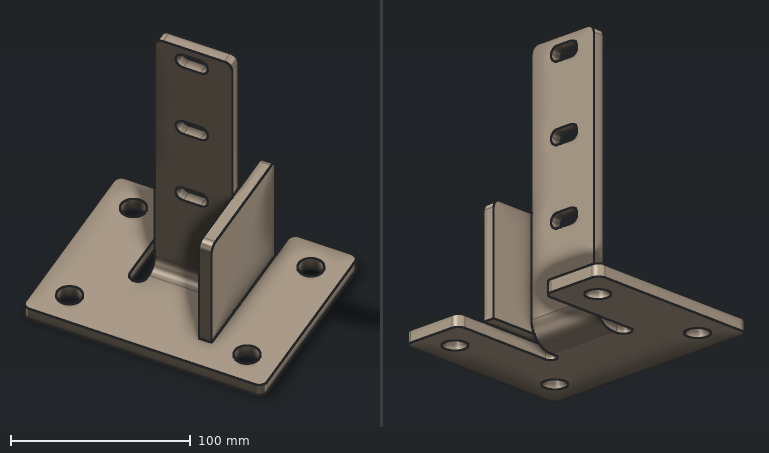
import cadquery as cq
import math

sheet = 8.0
base_length = 150.0
base_width = 120.0
total_height = 180.0
corner_radius = 5.0

hole_diameter = 15.0
hole_inset = 20.0

opening_left = 42.0
left_relief_width = 10.0
relief_end_y = 46.5
upright_width = 48.0
upright_left = opening_left + left_relief_width
upright_right = upright_left + upright_width
right_relief_width = sheet
opening_right = upright_right + right_relief_width

inner_bend_radius = sheet
outer_bend_radius = inner_bend_radius + sheet
upright_front = 62.0
upright_back = upright_front + sheet
bend_start_y = upright_front - inner_bend_radius
bend_top_z = sheet + inner_bend_radius

slot_length = 20.0
slot_height = 9.4
slot_count = 3
slot_pitch = 50.0
slot_x = base_length / 2
top_slot_z = total_height - 10.0

gusset_front = hole_inset
gusset_length = base_width - 2 * hole_inset
gusset_top = 80.0


def box_between(start, end):
    """Box with its opposite corners at the two given points."""
    size = [b - a for a, b in zip(start, end)]
    return cq.Workplane("XY").box(*size, centered=False).translate(start)


def relief_cut(left, width):
    """Slit with a round front end, open at the back edge of the base."""
    radius = width / 2
    shoulder_y = relief_end_y + radius
    return (
        cq.Workplane("XY")
        .moveTo(left, base_width)
        .lineTo(left, shoulder_y)
        .threePointArc((left + radius, relief_end_y), (left + width, shoulder_y))
        .lineTo(left + width, base_width)
        .close()
        .extrude(sheet)
    )


def make_base():
    """Flat base with its opening, relief slits, rounded corners and mounting holes."""
    base = box_between((0, 0, 0), (base_length, base_width, sheet))
    base = base.cut(box_between((opening_left, bend_start_y, 0), (opening_right, base_width, sheet)))
    base = base.cut(relief_cut(opening_left, left_relief_width))
    base = base.cut(relief_cut(upright_right, right_relief_width))
    base = base.faces("<Y or >Y").edges("|Z").fillet(corner_radius)
    hole_centres = [
        (x, y)
        for x in (hole_inset, base_length - hole_inset)
        for y in (hole_inset, base_width - hole_inset)
    ]
    holes = cq.Workplane("XY").pushPoints(hole_centres).circle(hole_diameter / 2).extrude(sheet)
    return base.cut(holes)


def make_upright():
    """Slotted tab with the bend that leads into the base."""
    bend_diagonal = math.sqrt(0.5)
    inner_arc_middle = (
        bend_start_y + inner_bend_radius * bend_diagonal,
        bend_top_z - inner_bend_radius * bend_diagonal,
    )
    outer_arc_middle = (
        bend_start_y + outer_bend_radius * bend_diagonal,
        bend_top_z - outer_bend_radius * bend_diagonal,
    )
    upright = (
        cq.Workplane("YZ", origin=(upright_left, 0, 0))
        .moveTo(bend_start_y, 0)
        .threePointArc(outer_arc_middle, (upright_back, bend_top_z))
        .lineTo(upright_back, total_height)
        .lineTo(upright_front, total_height)
        .lineTo(upright_front, bend_top_z)
        .threePointArc(inner_arc_middle, (bend_start_y, sheet))
        .close()
        .extrude(upright_width)
    )
    upright = upright.faces(">Z").edges("|Y").fillet(corner_radius)
    slot_centres = [(slot_x, top_slot_z - i * slot_pitch) for i in range(slot_count)]
    slots = (
        cq.Workplane("XZ", origin=(0, upright_back, 0))
        .pushPoints(slot_centres)
        .slot2D(slot_length, slot_height)
        .extrude(sheet)
    )
    return upright.cut(slots)


def make_bracket():
    """Base and upright, formed from one bent sheet."""
    return make_base().union(make_upright())


def make_gusset():
    """Side plate standing on the base against the right edge of the upright."""
    gusset = box_between(
        (upright_right, gusset_front, sheet),
        (opening_right, gusset_front + gusset_length, gusset_top),
    )
    return gusset.faces(">Z").edges("|X").fillet(corner_radius)


bracket = make_bracket()
gusset = make_gusset()

result = cq.Compound.makeCompound([bracket.val(), gusset.val()])